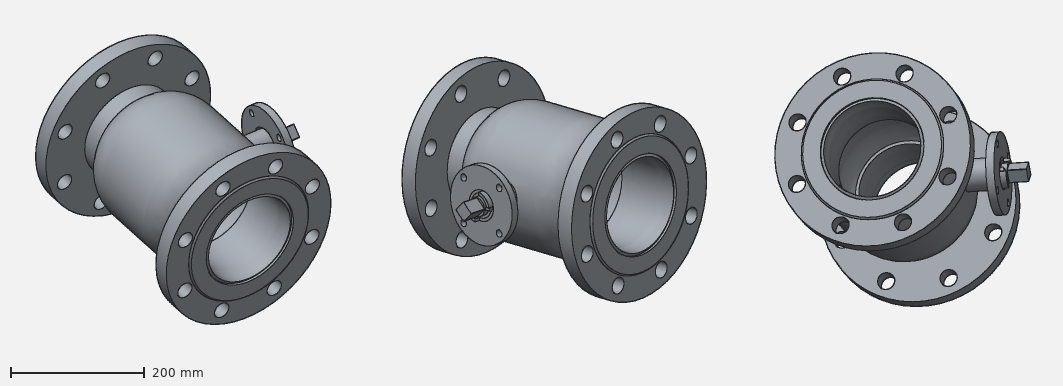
import cadquery as cq
import math


overall_length = 350.0
flange_radius = 150.0
flange_thickness = 27.5
raised_face_height = 3.0
raised_face_radius = 109.0
raised_face_chamfer = 2.8
bolt_count = 8
bolt_circle_radius = 125.0
bolt_hole_radius = 13.0
bolt_start_angle = 21.9
flange_front = overall_length / 2 - raised_face_height
flange_back = flange_front - flange_thickness

pipe_radius = 79.3
pipe_bore_radius = 72.5
pipe_mouth_radius = 74.5
pipe_setback = 1.0
pipe_bevel = 3.5
mouth_depth = 16.0
mouth_taper_length = 12.5
narrow_bore_length = 48.0
inner_taper_length = 28.0
pipe_outer_end = overall_length / 2 - pipe_setback
narrow_bore_start = pipe_outer_end - mouth_depth - mouth_taper_length
narrow_bore_end = narrow_bore_start - narrow_bore_length
pipe_inner_end = narrow_bore_end - inner_taper_length

housing_radius = 109.5
housing_wall = 6.3
housing_half_length = 110.2
dome_start = 55.5
dome_radius = 72.3

neck_radius = 24.5
neck_bore_radius = 19.5
neck_top = 171.5
plate_radius = 62.5
plate_thickness = 12.5
plate_bore_chamfer = 3.0
plate_top = 161.8
plate_bottom = plate_top - plate_thickness
plate_hole_count = 4
plate_hole_start_angle = 45
plate_hole_circle_radius = 51.0
plate_hole_radius = 5.5

stem_radius = 15.0
stem_top = 201.0
stem_bottom = housing_radius - 2 * housing_wall
stem_square_angle = 45
stem_square = 22.0
pin_radius = 3.5
pin_half_length = 22.5
pin_height = plate_top + pin_radius


def cylinder_along_y(radius, bottom, top):
    base = cq.Vector(0, bottom, 0)
    return cq.Workplane(cq.Solid.makeCylinder(radius, top - bottom, base, cq.Vector(0, 1, 0)))


def cylinder_along_x(radius, start, end):
    base = cq.Vector(start, 0, 0)
    return cq.Workplane(cq.Solid.makeCylinder(radius, end - start, base, cq.Vector(1, 0, 0)))


def revolve_about_x(outline):
    return outline.close().revolve(360, (0, 0, 0), (1, 0, 0))


def make_flange():
    """Flange on the +X end, with a chamfered raised face and a ring of bolt holes."""
    disc = cylinder_along_x(flange_radius, flange_back, flange_front)
    raised_face = (
        cylinder_along_x(raised_face_radius, flange_front, overall_length / 2)
        .faces(">X")
        .chamfer(raised_face_chamfer)
    )
    bore = cylinder_along_x(pipe_radius, flange_back, overall_length / 2)
    bolt_holes = (
        cq.Workplane("YZ", origin=(flange_back, 0, 0))
        .polarArray(bolt_circle_radius, bolt_start_angle, 360, bolt_count)
        .circle(bolt_hole_radius)
        .extrude(flange_thickness)
    )
    return disc.union(raised_face).cut(bore).cut(bolt_holes)


def make_pipe():
    """Pipe end on the +X side, bevelled outside at its tip and with a bore that widens to both ends."""
    outline = (
        cq.Workplane("XY")
        .moveTo(pipe_inner_end, pipe_mouth_radius)
        .lineTo(pipe_inner_end, pipe_radius)
        .lineTo(pipe_outer_end - pipe_bevel, pipe_radius)
        .lineTo(pipe_outer_end, pipe_mouth_radius)
        .lineTo(pipe_outer_end - mouth_depth, pipe_mouth_radius)
        .lineTo(narrow_bore_start, pipe_bore_radius)
        .lineTo(narrow_bore_end, pipe_bore_radius)
    )
    return revolve_about_x(outline)


def barrel(radius, end_radius):
    """Solid barrel with domed ends, cut flat at the ends of the housing."""

    def height(x):
        return radius - end_radius + math.sqrt(end_radius**2 - (x - dome_start) ** 2)

    middle = (dome_start + housing_half_length) / 2
    outline = (
        cq.Workplane("XY")
        .moveTo(-housing_half_length, 0)
        .lineTo(-housing_half_length, height(housing_half_length))
        .threePointArc((-middle, height(middle)), (-dome_start, radius))
        .lineTo(dome_start, radius)
        .threePointArc((middle, height(middle)), (housing_half_length, height(housing_half_length)))
        .lineTo(housing_half_length, 0)
    )
    return revolve_about_x(outline)


def make_housing():
    """Domed shell that closes onto the two pipes, with a hole for the stem."""
    pipe_holes = cylinder_along_x(pipe_radius, -housing_half_length, housing_half_length)
    stem_hole = cylinder_along_y(neck_bore_radius, 0, housing_radius)
    cavity = barrel(housing_radius - housing_wall, dome_radius - housing_wall)
    return barrel(housing_radius, dome_radius).cut(cavity).cut(pipe_holes).cut(stem_hole)


def make_neck():
    """Tube saddled on the housing; two quarters of its rim are cut away as stops for the pin."""
    neck = cylinder_along_y(neck_radius, 0, neck_top).cut(cylinder_along_y(neck_bore_radius, 0, neck_top))
    neck = neck.cut(cylinder_along_x(housing_radius, -neck_radius, neck_radius))
    cut_size = neck_radius + pin_radius
    for side in (1, -1):
        center = side * (cut_size / 2 - pin_radius)
        rim_cut = (
            cq.Workplane("XY")
            .box(cut_size, neck_top - plate_top, cut_size)
            .translate((center, (neck_top + plate_top) / 2, center))
        )
        neck = neck.cut(rim_cut)
    return neck


def make_plate():
    """Round mounting plate around the neck: bore chamfered underneath, four holes on the diagonals."""
    plate = (
        cylinder_along_y(plate_radius, plate_bottom, plate_top)
        .cut(cylinder_along_y(neck_radius, plate_bottom, plate_top))
        .faces("<Y")
        .edges(cq.selectors.RadiusNthSelector(0))
        .chamfer(plate_bore_chamfer)
    )
    holes = (
        cq.Workplane("XZ", origin=(0, plate_top, 0))
        .polarArray(plate_hole_circle_radius, plate_hole_start_angle, 360, plate_hole_count)
        .circle(plate_hole_radius)
        .extrude(plate_thickness)
    )
    return plate.cut(holes)


def make_pin():
    """Stop pin through the stem, resting on the plate between the rim quarters of the neck."""
    return cylinder_along_x(pin_radius, -pin_half_length, pin_half_length).translate((0, pin_height, 0))


def make_stem():
    """Stem filling the neck bore, slimmer above the plate, with a square drive end."""
    shank = cylinder_along_y(neck_bore_radius, stem_bottom, plate_top)
    spindle = cylinder_along_y(stem_radius, stem_bottom, stem_top)
    square = (
        cq.Workplane("XY")
        .box(stem_square, stem_top - neck_top, stem_square)
        .rotate((0, 0, 0), (0, 1, 0), stem_square_angle)
        .translate((0, (stem_top + neck_top) / 2, 0))
    )
    journal = cylinder_along_y(stem_radius, stem_bottom, neck_top)
    return shank.union(journal).union(square.intersect(spindle)).cut(make_pin())


housing = make_housing()
neck = make_neck()
plate = make_plate()
stem = make_stem()
pin = make_pin()

right_flange = make_flange()
right_pipe = make_pipe()
flanges = [right_flange.val(), right_flange.mirror("YZ").val()]
pipes = [right_pipe.val(), right_pipe.mirror("YZ").val()]

result = cq.Compound.makeCompound(
    [housing.val(), neck.val(), plate.val(), stem.val(), pin.val(), *flanges, *pipes]
)